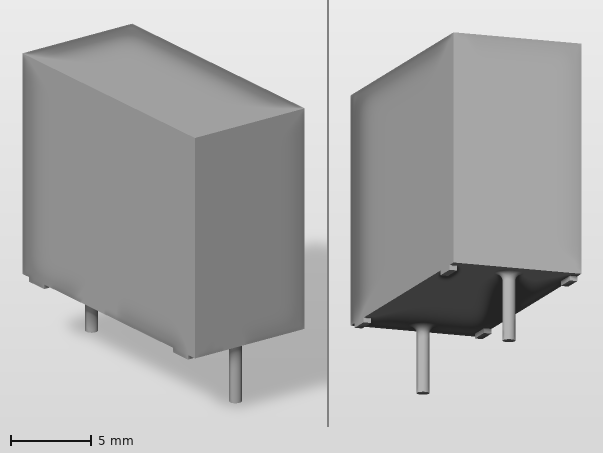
import cadquery as cq

length = 18.0
width = 8.5
total_height = 19.0

body_height = 14.7
foot_length = 1.55
foot_width = 0.5
foot_height = 0.3

pin_diameter = 0.8
pin_pitch = 15.0
flare_radius = 0.5

pin_length = total_height - body_height
pin_radius = pin_diameter / 2


def make_body():
    """Plain box with its underside at Z = 0."""
    return cq.Workplane("XY").box(length, width, body_height, centered=(True, True, False))


def make_feet():
    """Four feet centred on the pins lengthwise and flush with the long sides."""
    return (
        cq.Workplane("XY")
        .rarray(pin_pitch, width - foot_width, 2, 2)
        .rect(foot_length, foot_width)
        .extrude(-foot_height)
    )


def make_pin(x):
    """Pin at x, with a concave quarter-round flare that meets both the body and the pin smoothly."""
    return (
        cq.Workplane("XZ")
        .lineTo(pin_radius + flare_radius, 0)
        .radiusArc((pin_radius, -flare_radius), -flare_radius)
        .lineTo(pin_radius, -pin_length)
        .lineTo(0, -pin_length)
        .close()
        .revolve(360, (0, 0, 0), (0, 1, 0))
        .translate((x, 0, 0))
    )


result = make_body().union(make_feet())
for side in (-1, 1):
    result = result.union(make_pin(side * pin_pitch / 2))